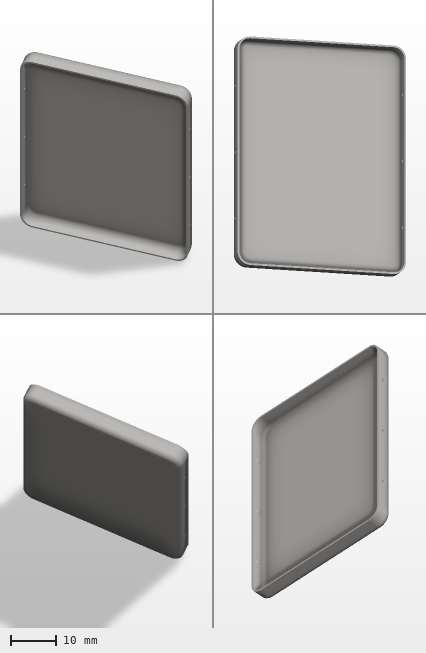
import cadquery as cq

width = 39.0
depth = 4.0
height = 51.7
wall = 0.4
floor = 0.35
corner_radius = 2.95
outer_edge_radius = 1.25
inner_edge_radius = 0.9

detent_pitch = 15.0
detent_from_rim = 1.7
detent_centre_offset = 0.4
dimple_radius = 0.65
bump_radius = 1.0

rim_y = -depth / 2


def rounded_block(inset, length, edge_radius):
    """Block inset from the tray's outside, flush with the rim, rounded at the floor."""
    return (
        cq.Workplane("XZ", origin=(0, rim_y, 0))
        .rect(width - 2 * inset, height - 2 * inset)
        .extrude(-length)
        .edges("|Y")
        .fillet(corner_radius - inset)
        .faces(">Y")
        .edges()
        .fillet(edge_radius)
    )


def detent_spheres(radius):
    """Spheres centred just outside both long walls, with poles along X."""
    centres = [
        (side * (width / 2 + detent_centre_offset), rim_y + detent_from_rim, row * detent_pitch)
        for side in (-1, 1)
        for row in (-1, 0, 1)
    ]
    spheres = cq.Workplane("YZ")
    for centre in centres:
        spheres = spheres.union(cq.Workplane("YZ", origin=centre).sphere(radius))
    return spheres


outside = rounded_block(0, depth, outer_edge_radius)
tray = outside.cut(rounded_block(wall, depth - floor, inner_edge_radius))
bumps = detent_spheres(bump_radius).intersect(outside)
result = tray.union(bumps).cut(detent_spheres(dimple_radius))